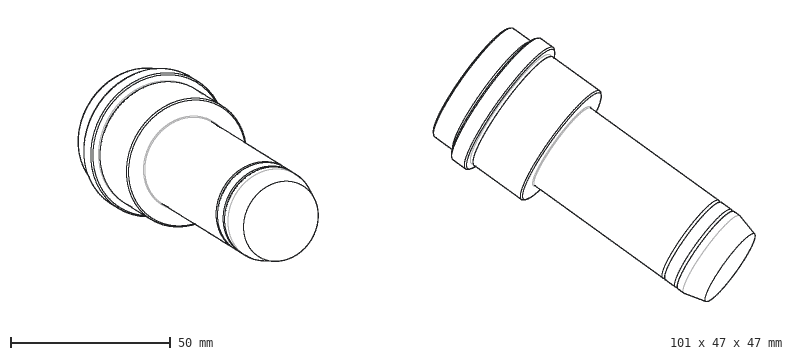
import cadquery as cq

total_length = 101
collar_start = 9.0
collar_width = 6.0
head_length = 35.0
shaft_groove_centers = (86.1, 91.0)
taper_length = 7.2

head_diameter = 42.0
collar_diameter = 47.0
shaft_diameter = 30.0
tip_diameter = 26.2

groove_radius = 0.5
edge_chamfer = 0.5
root_fillet = 0.3


def cylinder(start, length, diameter):
    """Solid cylinder along +X whose first face is at X = start."""
    return cq.Workplane("YZ", origin=(start, 0, 0)).circle(diameter / 2).extrude(length)


def groove_cutter(center, diameter):
    """Torus that cuts a half-round groove into a cylinder of the given diameter."""
    section = cq.Workplane("XY").center(center, diameter / 2).circle(groove_radius)
    return section.revolve(360, (-center, -diameter / 2, 0), (1 - center, -diameter / 2, 0))


def make_head():
    """Chamfered head with a chamfered collar between two half-round relief grooves."""
    head = cylinder(0, head_length, head_diameter).edges().chamfer(edge_chamfer)
    collar_end = collar_start + collar_width
    for center in (collar_start - groove_radius, collar_end + groove_radius):
        head = head.cut(groove_cutter(center, head_diameter))
    collar = cylinder(collar_start, collar_width, collar_diameter).edges().chamfer(edge_chamfer)
    return head.union(collar)


def make_shaft():
    """Plain shaft with two ring grooves and a tapered tip."""
    shaft = cylinder(head_length, total_length - head_length, shaft_diameter)
    radial_drop = (shaft_diameter - tip_diameter) / 2
    shaft = shaft.faces(">X").chamfer(taper_length, radial_drop)
    for center in shaft_groove_centers:
        shaft = shaft.cut(groove_cutter(center, shaft_diameter))
    return shaft


root_zone = cq.selectors.BoxSelector(
    (head_length - root_fillet, -shaft_diameter, -shaft_diameter),
    (head_length + root_fillet, shaft_diameter, shaft_diameter),
)
smallest_circle = cq.selectors.RadiusNthSelector(0)

part = make_head().union(make_shaft())
result = part.edges(root_zone).edges(smallest_circle).fillet(root_fillet)